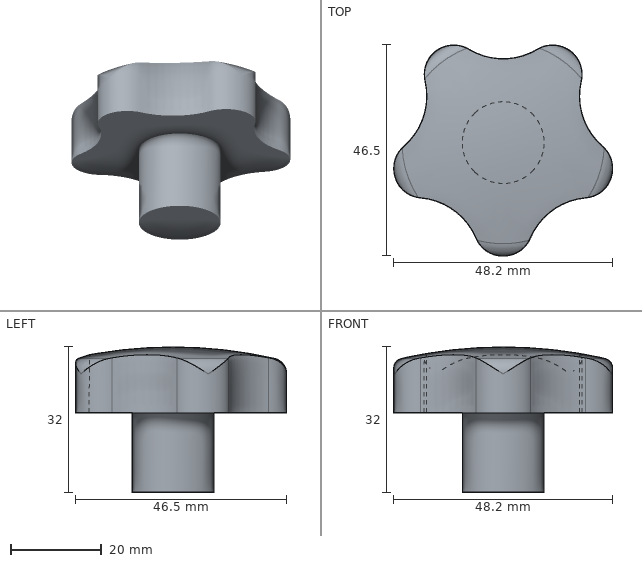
import cadquery as cq
import math

lobe_count = 5
tip_radius = 25.0
lobe_radius = 6.5
valley_distance = 18.45
stem_diameter = 18.0
stem_height = 17.5
total_height = 32.0
dome_radius = 100.0
rim_radius = 3.5


def polar(radius, angle):
    """Point at a distance and an angle (degrees) around the knob axis."""
    radians = math.radians(angle)
    return (radius * math.cos(radians), radius * math.sin(radians))


def star_outline():
    """Closed outline of lobe arcs joined by tangent valley arcs."""
    pitch = 360 / lobe_count
    half_pitch = math.radians(pitch / 2)
    lobe_distance = tip_radius - lobe_radius

    inset = valley_distance - lobe_radius
    valley_center = (lobe_distance**2 - inset**2) / (
        2 * (lobe_distance * math.cos(half_pitch) - inset)
    )
    valley_radius = valley_center - valley_distance

    reach = lobe_radius / (lobe_radius + valley_radius)
    along = lobe_distance + reach * (valley_center * math.cos(half_pitch) - lobe_distance)
    across = reach * valley_center * math.sin(half_pitch)
    joint_distance = math.hypot(along, across)
    joint_angle = math.degrees(math.atan2(across, along))

    first_lobe = -90
    outline = cq.Workplane("XY").moveTo(*polar(joint_distance, first_lobe - joint_angle))
    for i in range(lobe_count):
        lobe = first_lobe + i * pitch
        outline = outline.threePointArc(
            polar(tip_radius, lobe), polar(joint_distance, lobe + joint_angle)
        )
        outline = outline.threePointArc(
            polar(valley_distance, lobe + pitch / 2),
            polar(joint_distance, lobe + pitch - joint_angle),
        )
    return outline.close()


def domed_blank():
    """Revolved blank: flat underside, spherical top and tangent rounded rim."""
    dome_center = total_height - dome_radius
    rim_center = tip_radius - rim_radius
    rim_tilt = math.asin(rim_center / (dome_radius - rim_radius))
    rim_height = dome_center + (dome_radius - rim_radius) * math.cos(rim_tilt)

    def dome_point(tilt):
        return (dome_radius * math.sin(tilt), dome_center + dome_radius * math.cos(tilt))

    rim_middle = (rim_tilt + math.pi / 2) / 2
    return (
        cq.Workplane("XZ")
        .moveTo(0, stem_height)
        .lineTo(0, total_height)
        .threePointArc(dome_point(rim_tilt / 2), dome_point(rim_tilt))
        .threePointArc(
            (
                rim_center + rim_radius * math.sin(rim_middle),
                rim_height + rim_radius * math.cos(rim_middle),
            ),
            (tip_radius, rim_height),
        )
        .lineTo(tip_radius, stem_height)
        .close()
        .revolve(360, (0, 0, 0), (0, 1, 0))
    )


head = star_outline().extrude(total_height).intersect(domed_blank())
stem = cq.Workplane("XY").circle(stem_diameter / 2).extrude(stem_height)

result = head.union(stem)